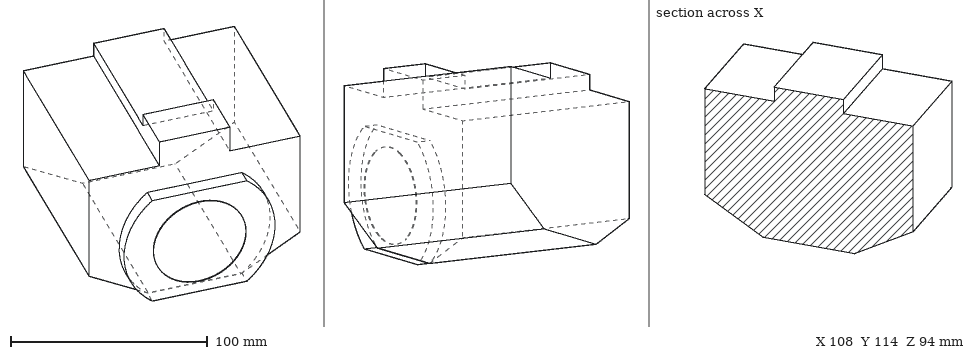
import cadquery as cq
import math

block_length = 100.0
block_width = 114.0
total_height = 94.0
base_width = 50.0
bevel_angle = 30.0

key_width = 38.0
step_top_above_shoulder = 15.0
step_height = 7.0
step_length = 25.0

axis_height = 32.0
collar_diameter = 81.5
collar_height = 63.5
collar_thickness = 7.5
pad_diameter = 50.0
end_projection = 8.0

shoulder_height = total_height - step_top_above_shoulder
key_top = total_height - step_height
bevel_height = (block_width - base_width) / 2 * math.tan(math.radians(bevel_angle))


def make_block():
    """Block with two lower bevels, starting at X = 0 and resting on Z = 0."""
    half_width = block_width / 2
    half_base = base_width / 2
    return (
        cq.Workplane("YZ")
        .moveTo(-half_base, 0)
        .lineTo(half_base, 0)
        .lineTo(half_width, bevel_height)
        .lineTo(half_width, shoulder_height)
        .lineTo(-half_width, shoulder_height)
        .lineTo(-half_width, bevel_height)
        .close()
        .extrude(block_length)
    )


def make_key():
    """Stepped key running the full length of the block's top face."""
    step_start = block_length - step_length
    return (
        cq.Workplane("XZ")
        .moveTo(0, shoulder_height)
        .lineTo(block_length, shoulder_height)
        .lineTo(block_length, total_height)
        .lineTo(step_start, total_height)
        .lineTo(step_start, key_top)
        .lineTo(0, key_top)
        .close()
        .extrude(key_width / 2, both=True)
    )


def make_collar():
    """Flatted collar and round pad on the block's +X face."""
    end_plane = cq.Workplane("YZ", origin=(block_length, 0, axis_height))
    disc = end_plane.circle(collar_diameter / 2).extrude(collar_thickness)
    flats = end_plane.rect(collar_diameter, collar_height).extrude(collar_thickness)
    pad = end_plane.circle(pad_diameter / 2).extrude(end_projection)
    return disc.intersect(flats).union(pad)


result = make_block().union(make_key()).union(make_collar())